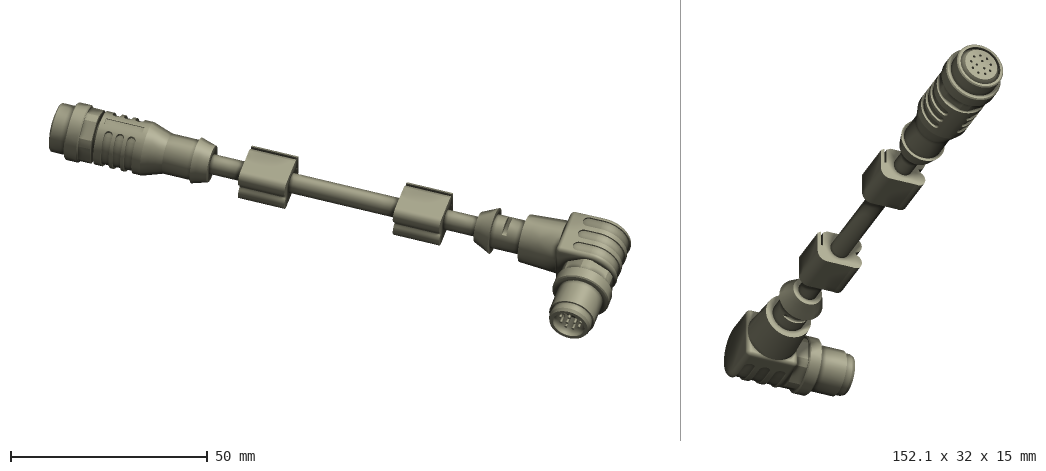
import cadquery as cq
import math

length = 152.1
total_depth = 32.0
nut_diameter = 15.0
nut_chamfer = 0.3
hex_flats = 13.1
hex_corner_diameter = 14.0
neck_diameter = 8.8
cable_diameter = 5.2

sleeve_start = 0.5
socket_nut_start = 4.7
socket_nut_end = 8.4
socket_hex_end = 11.5
grip_start = 12.5
grip_end = 25.0
shoulder_end = 30.3
collar_start = 37.9
collar_end = 42.0

sleeve_diameter = 12.8
sleeve_chamfer = 0.3
sleeve_bore = 11.0
insert_tip_diameter = 8.8
insert_root_diameter = 10.8
insert_cone_length = 1.5
grip_diameter = 14.0
shank_diameter = 10.5
collar_diameter = 12.0
collar_end_diameter = 9.6

groove_depth = 0.6
groove_width = 2.1
groove_first_x = 15.5
groove_pitch = 3.0
groove_count = 3
groove_reach = 2.6
panel_start = 13.5
panel_length = 10.2
panel_width = 1.8
panel_depth = 0.3

clip_length = 12.3
clip_starts = (50.8, 92.0)
clip_half_height = 4.5
clip_half_width = 6.1
clip_flat_half_width = 3.5
upper_jaw_middle_z = 2.5
lower_jaw_middle_z = -2.1
notch_root_y = -4.3
notch_top_z = 0.2
notch_lip_y = -4.7
notch_lip_z = -0.6
hook_slot_width = 0.6
hook_slot_floor = 0.0
hook_thickness = 0.9
hook_tip_drop = 0.5
hook_tip_bevel = 0.6

boot_start = 112.9
boot_rim = 117.3
sleeve_cone_start = 125.3
box_start = 135.5
boot_start_diameter = 7.9
boot_rim_diameter = 12.0
cone_start_diameter = 12.5
cone_end_diameter = 13.8
key_slot_x = 120.2
key_slot_width = 1.2
key_slot_floor = 3.0

elbow_x = length - nut_diameter / 2
box_width = 14.1
box_front_half_height = 7.0
box_radius = 7.1
box_fillet = 1.2
finger_depth = 0.5
finger_start = 139.5
finger_width = 2.9
finger_pitch = 4.3

plug_hex_start = 7.8
plug_nut_start = 11.0
plug_nut_end = 14.5
plug_barrel_end = 21.8
plug_chamfer_start = 23.5
plug_end = total_depth - nut_diameter / 2
barrel_diameter = 12.0
tip_diameter = 11.0
tip_end_diameter = 10.2
plug_bore = 8.4
plug_bore_depth = 6.1

contact_diameter = 0.7
pin_length = 4.9
socket_hole_depth = 4.5
contact_rings = ((9, 2.7, 6.0), (3, 1.2, 106.0))


def revolve_along_x(profile):
    """Turn (x, diameter) steps around the cable axis."""
    points = [(x, diameter / 2) for x, diameter in profile]
    outline = [(points[0][0], 0)] + points + [(points[-1][0], 0)]
    return cq.Workplane("XY").polyline(outline).close().revolve(360, (0, 0, 0), (1, 0, 0))


def chamfered_step(start, end, diameter, chamfer):
    """The (x, diameter) corners of a cylinder with both rims chamfered."""
    return [
        (start, diameter - 2 * chamfer),
        (start + chamfer, diameter),
        (end - chamfer, diameter),
        (end, diameter - 2 * chamfer),
    ]


def hex_collar(start, end):
    """Hexagon along X with flats facing +Y and -Y and rounded corners."""
    depth = end - start
    hexagon = (
        cq.Workplane("YZ", origin=(start, 0, 0))
        .polygon(6, hex_flats / math.cos(math.pi / 6))
        .extrude(depth)
        .rotate((0, 0, 0), (1, 0, 0), 30)
    )
    return hexagon.intersect(revolve_along_x([(start, hex_corner_diameter), (end, hex_corner_diameter)]))


def contacts(depth):
    """Contact rods along +X from x = 0."""
    points = []
    for count, radius, first_angle in contact_rings:
        for i in range(count):
            angle = math.radians(first_angle + i * 360 / count)
            points.append((radius * math.cos(angle), radius * math.sin(angle)))
    return cq.Workplane("YZ").pushPoints(points).circle(contact_diameter / 2).extrude(depth)


def grip_grooves():
    """Ring grooves on the +Y and -Y sides of the grip, with rounded ends."""
    floor_radius = grip_diameter / 2 - groove_depth
    slot_length = grip_diameter
    cutters = cq.Workplane("XY")
    for i in range(groove_count):
        for side in (1, -1):
            slot = (
                cq.Workplane("XY")
                .center(groove_first_x + i * groove_pitch, side * (groove_reach + slot_length / 2))
                .slot2D(slot_length, groove_width, 90)
                .extrude(grip_diameter / 2, both=True)
            )
            cutters = cutters.add(slot)
    core = revolve_along_x([(grip_start, 2 * floor_radius), (grip_end, 2 * floor_radius)])
    return cutters.combine().cut(core)


def socket():
    body = revolve_along_x(
        [(sleeve_start, sleeve_diameter - 2 * sleeve_chamfer), (sleeve_start + sleeve_chamfer, sleeve_diameter)]
        + [(socket_nut_start, sleeve_diameter)]
        + chamfered_step(socket_nut_start, socket_nut_end, nut_diameter, nut_chamfer)
        + [(socket_nut_end, neck_diameter), (grip_start, neck_diameter)]
        + [(grip_start, grip_diameter), (grip_end, grip_diameter)]
        + [(shoulder_end, shank_diameter), (collar_start, shank_diameter)]
        + [(collar_start, collar_diameter), (collar_end, collar_end_diameter)]
    )
    body = body.union(hex_collar(socket_nut_end, socket_hex_end))
    mouth = revolve_along_x([(0, sleeve_bore), (insert_cone_length, sleeve_bore)])
    insert = revolve_along_x([(0, insert_tip_diameter), (insert_cone_length, insert_root_diameter)])
    body = body.cut(mouth).union(insert)
    body = body.cut(contacts(socket_hole_depth))
    panel = (
        cq.Workplane("XY", origin=(panel_start + panel_length / 2, 0, grip_diameter / 2 - panel_depth))
        .rect(panel_length, panel_width)
        .extrude(panel_depth)
    )
    return body.cut(grip_grooves()).cut(panel)


def clip(start):
    """Cable clip with two rounded jaws on -Y and an upright hook plate on +Y."""
    hook_inner_y = clip_half_width - hook_thickness
    slot_inner_y = hook_inner_y - hook_slot_width
    hook_tip_z = clip_half_height - hook_tip_drop
    jaw_edge_z = clip_half_height - hook_tip_bevel
    return (
        cq.Workplane("YZ", origin=(start, 0, 0))
        .moveTo(clip_flat_half_width, clip_half_height)
        .lineTo(-clip_flat_half_width, clip_half_height)
        .threePointArc((-clip_half_width, upper_jaw_middle_z), (notch_root_y, notch_top_z))
        .lineTo(notch_lip_y, notch_lip_z)
        .threePointArc((-clip_half_width, lower_jaw_middle_z), (-clip_flat_half_width, -clip_half_height))
        .lineTo(clip_flat_half_width, -clip_half_height)
        .tangentArcPoint((clip_half_width, lower_jaw_middle_z), relative=False)
        .lineTo(clip_half_width, hook_tip_z - hook_tip_bevel)
        .lineTo(hook_inner_y, hook_tip_z)
        .lineTo(hook_inner_y, hook_slot_floor)
        .lineTo(slot_inner_y, hook_slot_floor)
        .lineTo(slot_inner_y, jaw_edge_z)
        .close()
        .extrude(clip_length)
    )


def elbow_outline(inset):
    """Side outline of the elbow box in XZ: slightly flared with a round end."""
    radius = box_radius - inset
    front = box_front_half_height - inset
    return (
        cq.Workplane("XZ", origin=(0, box_width / 2, 0))
        .moveTo(box_start, front)
        .lineTo(elbow_x, radius)
        .threePointArc((elbow_x + radius, 0), (elbow_x, -radius))
        .lineTo(box_start, -front)
        .close()
        .extrude(box_width)
    )


def finger_grooves():
    """Three grooves that wrap around the rounded end of the elbow box."""
    slot_length = 2 * (length - finger_start)
    slots = (
        cq.Workplane("XY")
        .pushPoints([(length, i * finger_pitch) for i in (-1, 0, 1)])
        .slot2D(slot_length, finger_width)
        .extrude(nut_diameter / 2, both=True)
    )
    return slots.cut(elbow_outline(finger_depth))


def key_slots():
    """Short slots across the top and bottom of the boot neck."""
    slot = cq.Workplane("XY", origin=(key_slot_x + key_slot_width / 2, 0, key_slot_floor))
    slot = slot.rect(key_slot_width, neck_diameter).extrude(neck_diameter)
    return slot.union(slot.mirror("XY"))


def plug():
    """Coupling end of the elbow, built along +X and then turned to -Y."""
    body = revolve_along_x(
        [(0, neck_diameter), (plug_nut_start, neck_diameter)]
        + chamfered_step(plug_nut_start, plug_nut_end, nut_diameter, nut_chamfer)
        + [(plug_nut_end, barrel_diameter), (plug_barrel_end, barrel_diameter)]
        + [(plug_barrel_end, tip_diameter), (plug_chamfer_start, tip_diameter), (plug_end, tip_end_diameter)]
    )
    body = body.union(hex_collar(plug_hex_start, plug_nut_start))
    bore_floor = plug_end - plug_bore_depth
    body = body.cut(revolve_along_x([(bore_floor, plug_bore), (plug_end, plug_bore)]))
    body = body.union(contacts(pin_length).translate((bore_floor, 0, 0)))
    return body.rotate((0, 0, 0), (0, 0, 1), -90).translate((elbow_x, 0, 0))


def elbow():
    boot = revolve_along_x(
        [(boot_start, boot_start_diameter), (boot_rim, boot_rim_diameter)]
        + [(boot_rim, neck_diameter), (sleeve_cone_start, neck_diameter)]
        + [(sleeve_cone_start, cone_start_diameter), (box_start, cone_end_diameter)]
    )
    box = elbow_outline(0).edges().fillet(box_fillet).cut(finger_grooves())
    return boot.cut(key_slots()).union(box).union(plug())


cable = revolve_along_x([(collar_start, cable_diameter), (boot_rim, cable_diameter)])
result = socket().union(cable).union(elbow())
for clip_start in clip_starts:
    result = result.union(clip(clip_start))